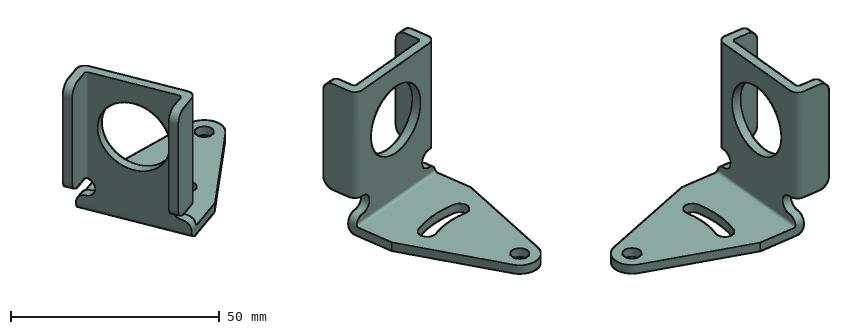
import cadquery as cq
import math


thickness = 2.54
inner_bend_radius = 0.762
outer_bend_radius = 2.286

width = 30.48
height = 40.64
base_length = 45.466

tip_radius = 5.08
tip_hole_diameter = 4.572
straight_side_length = 13.335
slot_width = 4.572
slot_path_radius = 24.13
slot_half_angle = math.radians(15)

web_hole_diameter = 19.05
flange_reach = 7.62
flange_corner_radius = 3.048
relief_radius = 2.54
foot_corner_radius = 2.54

half_width = width / 2
tip_center_y = base_length - tip_radius
foot_top = thickness + foot_corner_radius
flange_bottom = foot_top + 2 * relief_radius
web_hole_z = (flange_bottom + height) / 2


def make_bent_strip():
    """Full-width L: the base plate and the foot of the web, with the bend between them."""
    return (
        cq.Workplane("YZ")
        .moveTo(0, 0)
        .lineTo(base_length, 0)
        .lineTo(base_length, thickness)
        .lineTo(thickness, thickness)
        .lineTo(thickness, flange_bottom)
        .lineTo(0, flange_bottom)
        .close()
        .extrude(half_width, both=True)
        .edges(cq.selectors.NearestToPointSelector((0, 0, 0)))
        .fillet(outer_bend_radius)
        .edges(cq.selectors.NearestToPointSelector((0, thickness, thickness)))
        .fillet(inner_bend_radius)
    )


def make_base_envelope():
    """Column over the plan outline: straight sides tapering tangentially into a round tip."""
    rise = tip_center_y - straight_side_length
    corner_distance = math.hypot(half_width, rise)
    tangent_angle = math.acos(tip_radius / corner_distance) - math.atan2(rise, half_width)
    tangent_x = tip_radius * math.cos(tangent_angle)
    tangent_y = tip_center_y + tip_radius * math.sin(tangent_angle)
    return (
        cq.Workplane("XY")
        .moveTo(-half_width, 0)
        .lineTo(half_width, 0)
        .lineTo(half_width, straight_side_length)
        .lineTo(tangent_x, tangent_y)
        .threePointArc((0, base_length), (-tangent_x, tangent_y))
        .lineTo(-half_width, straight_side_length)
        .close()
        .extrude(height)
    )


def make_tip_hole():
    return cq.Workplane("XY").center(0, tip_center_y).circle(tip_hole_diameter / 2).extrude(thickness)


def make_arc_slot():
    """Slot with round ends that follows an arc about the tip hole."""

    def on_arc(radius, angle):
        return (radius * math.sin(angle), tip_center_y - radius * math.cos(angle))

    inner = slot_path_radius - slot_width / 2
    outer = slot_path_radius + slot_width / 2
    band = (
        cq.Workplane("XY")
        .moveTo(*on_arc(inner, -slot_half_angle))
        .threePointArc(on_arc(inner, 0), on_arc(inner, slot_half_angle))
        .lineTo(*on_arc(outer, slot_half_angle))
        .threePointArc(on_arc(outer, 0), on_arc(outer, -slot_half_angle))
        .close()
        .extrude(thickness)
    )
    end_centers = [on_arc(slot_path_radius, side * slot_half_angle) for side in (-1, 1)]
    ends = cq.Workplane("XY").pushPoints(end_centers).circle(slot_width / 2).extrude(thickness)
    return band.union(ends)


def make_channel():
    """Upper web with a flange bent forward along each side."""
    inner_half_width = half_width - thickness
    block = (
        cq.Workplane("XY")
        .workplane(offset=flange_bottom)
        .moveTo(-half_width, thickness)
        .lineTo(half_width, thickness)
        .lineTo(half_width, -flange_reach)
        .lineTo(inner_half_width, -flange_reach)
        .lineTo(inner_half_width, 0)
        .lineTo(-inner_half_width, 0)
        .lineTo(-inner_half_width, -flange_reach)
        .lineTo(-half_width, -flange_reach)
        .close()
        .extrude(height - flange_bottom)
    )
    for side in (-1, 1):
        outer_corner = (side * half_width, thickness, web_hole_z)
        inner_corner = (side * inner_half_width, 0, web_hole_z)
        block = block.edges(cq.selectors.NearestToPointSelector(outer_corner)).fillet(outer_bend_radius)
        block = block.edges(cq.selectors.NearestToPointSelector(inner_corner)).fillet(inner_bend_radius)
    return block.faces("<Y").edges("|X").fillet(flange_corner_radius)


def make_web_hole():
    return cq.Workplane("XZ").center(0, web_hole_z).circle(web_hole_diameter / 2).extrude(-thickness)


def make_side_relief(side):
    """Notch under one flange: a round-ended relief running into the rounded corner of the foot."""
    relief_x = half_width - relief_radius
    relief_z = foot_top + relief_radius
    foot_x = half_width - foot_corner_radius
    corner_reach = foot_corner_radius * math.sqrt(0.5)
    return (
        cq.Workplane("XZ")
        .moveTo(side * half_width, flange_bottom)
        .lineTo(side * relief_x, flange_bottom)
        .threePointArc((side * (relief_x - relief_radius), relief_z), (side * foot_x, foot_top))
        .threePointArc(
            (side * (foot_x + corner_reach), thickness + corner_reach),
            (side * half_width, thickness),
        )
        .close()
        .extrude(-(thickness + inner_bend_radius))
    )


result = make_bent_strip().intersect(make_base_envelope()).union(make_channel())
result = result.cut(make_tip_hole()).cut(make_arc_slot()).cut(make_web_hole())
for side in (-1, 1):
    result = result.cut(make_side_relief(side))